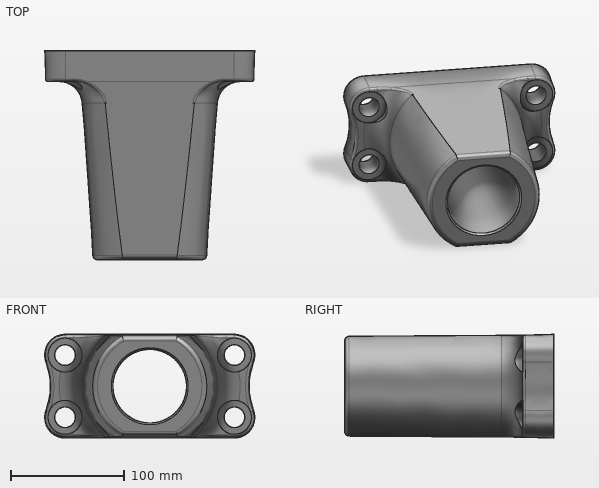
import cadquery as cq
import math

flange_width = 186.0
flange_height = 92.0
flange_thickness = 27.5
flange_draft = 1.7
corner_radius = 18.5
waist_radius = 61.4
edge_round = 2.6

hole_x = 75.0
hole_z = 27.5
hole_diameter = 18.0
spotface_diameter = 30.0
spotface_depth = 0.2

total_length = 185.0
tip_radius = 50.2
neck_draft = 4.0
flat_draft = 0.35
root_radius = 20.0
tip_round = 4.3

bore_diameter = 65.0
bore_mouth_diameter = 68.0

flange_front_half_height = flange_height / 2 - flange_thickness * math.tan(math.radians(flange_draft))
neck_length = total_length - flange_thickness
neck_slope = math.tan(math.radians(neck_draft))
neck_base_radius = tip_radius + neck_length * neck_slope
root_tangent = root_radius * math.tan(math.radians(45 - neck_draft / 2))
root_height = root_tangent * math.cos(math.radians(neck_draft))
root_end_y = flange_thickness + root_height
root_end_radius = neck_base_radius - root_height * neck_slope


def make_flange():
    """Drafted plate with round corners and a tangent concave arc in each short side."""
    half_width = flange_width / 2
    half_height = flange_height / 2
    corner_x = half_width - corner_radius
    corner_z = half_height - corner_radius
    centre_gap = corner_radius + waist_radius
    waist_center_x = corner_x + math.sqrt(centre_gap**2 - corner_z**2)
    waist_x = waist_center_x - waist_radius
    blend = corner_radius / centre_gap
    blend_x = corner_x + (waist_center_x - corner_x) * blend
    blend_z = corner_z * (1 - blend)
    return (
        cq.Workplane("XZ")
        .moveTo(-corner_x, half_height)
        .lineTo(corner_x, half_height)
        .threePointArc((half_width, corner_z), (blend_x, blend_z))
        .threePointArc((waist_x, 0), (blend_x, -blend_z))
        .threePointArc((half_width, -corner_z), (corner_x, -half_height))
        .lineTo(-corner_x, -half_height)
        .threePointArc((-half_width, -corner_z), (-blend_x, -blend_z))
        .threePointArc((-waist_x, 0), (-blend_x, blend_z))
        .threePointArc((-half_width, corner_z), (-corner_x, half_height))
        .close()
        .extrude(flange_thickness, taper=flange_draft)
    )


def make_flats():
    """Wedge that holds the material between the two neck flats."""
    tip_half_height = flange_front_half_height - neck_length * math.tan(math.radians(flat_draft))
    return (
        cq.Workplane("YZ")
        .polyline([
            (-flange_thickness, flange_front_half_height),
            (-total_length, tip_half_height),
            (-total_length, -tip_half_height),
            (-flange_thickness, -flange_front_half_height),
        ])
        .close()
        .extrude(flange_width / 2, both=True)
    )


def make_root():
    """Flared fillet between the flange face and the cone."""
    flare_radius = neck_base_radius + root_tangent
    center_y = flange_thickness + root_radius
    middle_angle = math.radians(45 + neck_draft / 2)
    middle = (
        flare_radius - root_radius * math.sin(math.radians(45 - neck_draft / 2)),
        -center_y + root_radius * math.sin(middle_angle),
    )
    return (
        cq.Workplane("XY")
        .moveTo(0, -flange_thickness)
        .lineTo(flare_radius, -flange_thickness)
        .threePointArc(middle, (root_end_radius, -root_end_y))
        .lineTo(0, -root_end_y)
        .close()
        .revolve(360, (0, 0, 0), (0, 1, 0))
    )


def make_neck():
    """Conical neck with its flats and rounded tip."""
    cone = (
        cq.Workplane("XY")
        .polyline([
            (0, -root_end_y),
            (root_end_radius, -root_end_y),
            (tip_radius, -total_length),
            (0, -total_length),
        ])
        .close()
        .revolve(360, (0, 0, 0), (0, 1, 0))
    )
    return cone.intersect(make_flats()).faces("<Y").edges().fillet(tip_round)


def make_base():
    """Flange and root together, with the front rim rounded along the flange and the flare."""
    rim_margin = 0.2
    base = make_flange().union(make_root().intersect(make_flats()))
    flare_edges = base.edges("%BSPLINE")
    front_edges = base.edges(cq.selectors.BoxSelector(
        (-flange_width, -flange_thickness - rim_margin, -flange_height),
        (flange_width, -flange_thickness + rim_margin, flange_height),
    ))
    rim_arcs = front_edges.edges("%CIRCLE").filter(lambda edge: edge.radius() < neck_base_radius)
    rim_lines = front_edges.edges("%LINE").filter(lambda edge: edge.Length() < corner_radius)
    return base.newObject(flare_edges.vals() + rim_arcs.vals() + rim_lines.vals()).fillet(edge_round)


def bolt_points(depth):
    """Workplane at the given distance in front of the back face, at the four bolt holes."""
    points = [(x, z) for x in (-hole_x, hole_x) for z in (-hole_z, hole_z)]
    return cq.Workplane("XZ").workplane(offset=depth).pushPoints(points)


holes = bolt_points(0).circle(hole_diameter / 2).extrude(total_length)
seats = (
    bolt_points(flange_thickness - spotface_depth)
    .circle(spotface_diameter / 2)
    .extrude(root_height)
)

bore_chamfer = (bore_mouth_diameter - bore_diameter) / 2
bore = (
    cq.Workplane("XZ")
    .circle(bore_diameter / 2)
    .extrude(total_length)
)
bore_mouth = (
    cq.Workplane("XZ")
    .workplane(offset=total_length)
    .circle(bore_mouth_diameter / 2)
    .workplane(offset=-bore_chamfer)
    .circle(bore_diameter / 2)
    .loft()
)

base = make_base().cut(seats).cut(holes)
result = base.union(make_neck()).cut(bore).cut(bore_mouth)